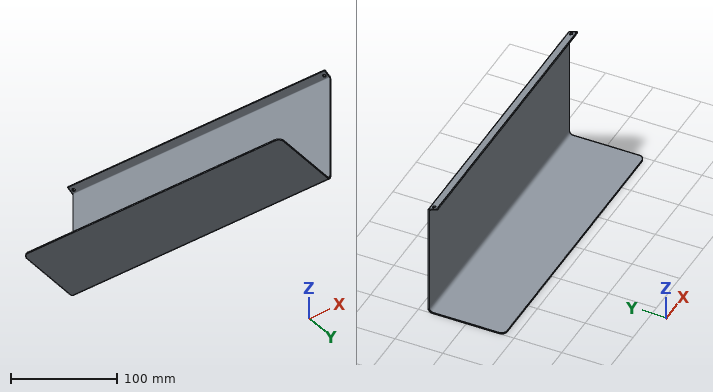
import cadquery as cq
import math

length = 300.0
depth = 80.0
height = 126.5
thickness = 1.5

foot_bend_radius = 5.5
lip_bend_radius = 2.5
lip_reach = 9.3
lip_angle = math.radians(20)

corner_radius = 6.0
hole_diameter = 3.0
hole_end_offset = 3.5
hole_rear_offset = 4.8

lip_bend_angle = math.pi / 2 - lip_angle
lip_bend_y = -lip_bend_radius
lip_tangent_y = lip_bend_y + lip_bend_radius * math.sin(lip_angle)
lip_tangent_z = height - (lip_reach + lip_tangent_y) * math.tan(lip_angle)
lip_bend_z = lip_tangent_z - lip_bend_radius * math.cos(lip_angle)


def foot_bend_point(radius, angle):
    """Point on the foot bend, with the angle measured from +Y towards +Z."""
    y = -foot_bend_radius + radius * math.cos(angle)
    z = foot_bend_radius + radius * math.sin(angle)
    return y, z


def lip_bend_point(radius, angle):
    """Point on the lip bend, with the angle measured from +Y towards +Z."""
    y = lip_bend_y + radius * math.cos(angle)
    z = lip_bend_z + radius * math.sin(angle)
    return y, z


def bent_sheet():
    """Extrude the constant-thickness profile along X, centred on the origin."""
    foot_inner = foot_bend_radius - thickness
    lip_inner = lip_bend_radius - thickness
    down = -math.pi / 2
    tip_inner = (
        -lip_reach - thickness * math.sin(lip_angle),
        height - thickness * math.cos(lip_angle),
    )
    return (
        cq.Workplane("YZ", origin=(-length / 2, 0, 0))
        .moveTo(-depth, 0)
        .lineTo(*foot_bend_point(foot_bend_radius, down))
        .threePointArc(foot_bend_point(foot_bend_radius, down / 2), foot_bend_point(foot_bend_radius, 0))
        .lineTo(*lip_bend_point(lip_bend_radius, 0))
        .threePointArc(
            lip_bend_point(lip_bend_radius, lip_bend_angle / 2),
            lip_bend_point(lip_bend_radius, lip_bend_angle),
        )
        .lineTo(-lip_reach, height)
        .lineTo(*tip_inner)
        .lineTo(*lip_bend_point(lip_inner, lip_bend_angle))
        .threePointArc(lip_bend_point(lip_inner, lip_bend_angle / 2), lip_bend_point(lip_inner, 0))
        .lineTo(*foot_bend_point(foot_inner, 0))
        .threePointArc(foot_bend_point(foot_inner, down / 2), foot_bend_point(foot_inner, down))
        .lineTo(-depth, thickness)
        .close()
        .extrude(length)
    )


def lip_hole(side):
    """Cutter through the lip, square to its surface; side is -1 or +1 along X."""
    x = side * (length / 2 - hole_end_offset)
    z = height - (lip_reach - hole_rear_offset) * math.tan(lip_angle)
    normal = cq.Vector(0, math.sin(lip_angle), math.cos(lip_angle))
    start = cq.Vector(x, -hole_rear_offset, z) - normal * (2 * thickness)
    return cq.Solid.makeCylinder(hole_diameter / 2, 4 * thickness, start, normal)


result = bent_sheet()
result = result.faces("<Y").edges("|Z").fillet(corner_radius)
for side in (-1, 1):
    result = result.cut(lip_hole(side))